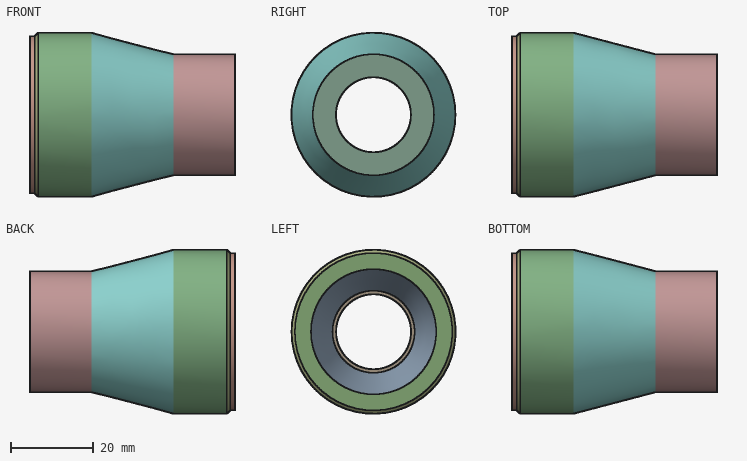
import cadquery as cq

total_length = 50.0
chamfer_end_x = 2.0
outer_taper_start_x = 15.0
outer_taper_end_x = 35.0
bore_taper_start_x = 13.13
bore_taper_end_x = 34.08

lip_diameter = 38.33
large_diameter = 40.0
small_diameter = 29.5

large_bore_diameter = 30.5
bore_taper_end_diameter = 20.0
small_bore_diameter = 18.2

lip_length = chamfer_end_x - (large_diameter - lip_diameter) / 2


def turned_solid(stations):
    """Revolve (x, diameter) stations around the X axis into a solid."""
    profile = cq.Workplane("XY")
    for x, diameter in stations:
        profile = profile.lineTo(x, diameter / 2)
    profile = profile.lineTo(total_length, 0).close()
    return profile.revolve(360, (0, 0, 0), (1, 0, 0))


def outer_body():
    """Lip, chamfer, large cylinder, taper and small cylinder."""
    return turned_solid([
        (0, lip_diameter),
        (lip_length, lip_diameter),
        (chamfer_end_x, large_diameter),
        (outer_taper_start_x, large_diameter),
        (outer_taper_end_x, small_diameter),
        (total_length, small_diameter),
    ])


def stepped_bore():
    """Wide bore and taper, then a small shoulder into the narrow bore."""
    return turned_solid([
        (0, large_bore_diameter),
        (bore_taper_start_x, large_bore_diameter),
        (bore_taper_end_x, bore_taper_end_diameter),
        (bore_taper_end_x, small_bore_diameter),
        (total_length, small_bore_diameter),
    ])


result = outer_body().cut(stepped_bore())